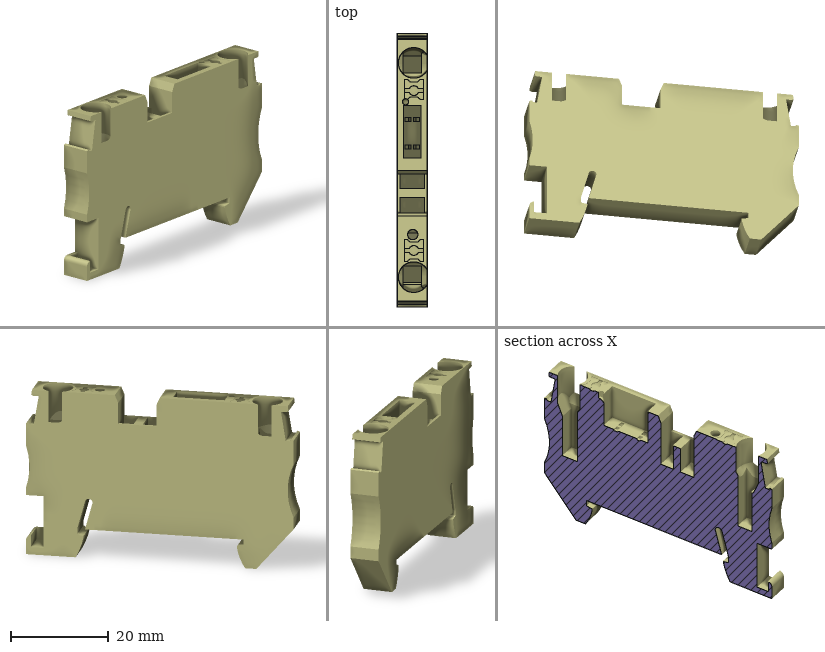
import cadquery as cq

width = 6.15
length = 55.9
height = 35.25

rail_z = 6.1
lip_z = 34.0
shoulder_z = 27.8
bead_z = 28.2
bead_end_z = 28.0

clip_wall_y = 3.6
clip_top_z = 4.05
clip_bead_y = 1.0
clip_rim = 0.8
clip_pocket_depth = 2.5

notch_y0 = 19.25
notch_y1 = 27.2
notch_z = 29.15
notch_bevel_z = 33.65
notch_bevel = 0.7

entry_radius = 3.13
entry_x = 0.3
entry_depth = 6.0
taper_depth = 4.0
taper_end_radius = 1.0
taper_offset = 0.3
clamp_half_width = 1.92
clamp_depth = 14.0
front_entry_y = 6.1
front_clamp_inner = 2.25
front_clamp_outer = 1.07
front_ledge = 0.4
rear_entry_y = length - 6.03
rear_clamp_inner = 2.1
rear_clamp_outer = 1.45
rear_ledge = 0.0

front_mark_y0 = 9.35
front_mark_y1 = 13.75
front_groove_y = 11.55
rear_mark_y0 = 42.4
rear_mark_y1 = 46.5
rear_groove_y = 44.2
mark_x0 = -1.6
mark_x1 = 2.25
mark_recess = 0.1
mark_groove_depth = 0.35
mark_groove_half_width = 0.43
mark_ring_radius = 1.0
mark_notch_depth = 0.5
mark_notch_outer = 1.3
mark_notch_inner = 0.75

slot_half_width = 1.75
slot_y0 = 30.45
slot_y1 = 41.2
slot_depth = 8.0
contact_ys = (32.7, 38.3)
contact_length = 0.85
contact_outer_x = 1.43
contact_bend_x = 0.76
contact_inner_x = 0.25
contact_shelf_depth = 0.3
contact_depth = 1.3

bridge_half_width = 2.47
bridge_front_length = 3.1
bridge_rear_length = 2.95
bridge_depth = 6.0

test_radius = 1.05
test_x = 0.1
test_y = 14.8
test_depth = 5.0
test_flat = 0.3
test_slope_rise = 1.0

pilot_radius = 0.63
pilot_x = -1.36
pilot_y = 41.92
pilot_depth = 3.0
pilot_floor_radius = 1.5


def body():
    """Side outline with its feet, release slit, grips and top lips, extruded across the width."""
    outline = (
        cq.Workplane("YZ")
        .moveTo(0, 0)
        .lineTo(10.35, 0)
        .threePointArc((11.3, 2.0), (12.0, 4.35))
        .lineTo(12.0, 4.65)
        .lineTo(11.0, 4.8)
        .lineTo(10.7, 5.0)
        .lineTo(10.7, rail_z)
        .lineTo(12.3, 12.0)
        .threePointArc((13.1, 12.7), (13.9, 11.9))
        .lineTo(12.3, rail_z)
        .lineTo(45.45, rail_z)
        .lineTo(45.45, 4.85)
        .lineTo(44.05, 4.6)
        .lineTo(44.05, 4.3)
        .threePointArc((44.7, 2.0), (45.75, 0))
        .lineTo(48.1, 0)
        .lineTo(length, 9.0)
        .lineTo(length, 11.5)
        .threePointArc((54.65, 17.2), (length, 22.9))
        .lineTo(length, bead_end_z)
        .lineTo(55.4, bead_z)
        .lineTo(55.1, shoulder_z)
        .lineTo(54.25, shoulder_z)
        .lineTo(53.25, lip_z)
        .lineTo(54.4, lip_z)
        .lineTo(54.82, 34.2)
        .lineTo(54.68, height)
        .lineTo(notch_y1 + notch_bevel, height)
        .lineTo(notch_y1, notch_bevel_z)
        .lineTo(notch_y1, notch_z)
        .lineTo(notch_y0, notch_z)
        .lineTo(notch_y0, notch_bevel_z)
        .lineTo(notch_y0 - notch_bevel, height)
        .lineTo(1.22, height)
        .lineTo(1.08, 34.2)
        .lineTo(1.5, lip_z)
        .lineTo(2.65, lip_z)
        .lineTo(1.6, shoulder_z)
        .lineTo(0.85, shoulder_z)
        .lineTo(0.5, bead_z)
        .lineTo(0, bead_end_z)
        .lineTo(0, 23.2)
        .threePointArc((0.7, 18.8), (0, 14.3))
        .lineTo(0, 12.65)
        .lineTo(clip_wall_y, 12.65)
        .lineTo(clip_wall_y, clip_top_z)
        .lineTo(clip_bead_y, clip_top_z)
        .threePointArc((0.3, 3.75), (0, 3.05))
        .close()
    )
    return outline.extrude(width / 2, both=True)


def box_down(x0, x1, y0, y1, z_top, depth):
    """Box between the given sides, reaching down from z_top."""
    return (
        cq.Workplane("XY", origin=(0, 0, z_top - depth))
        .moveTo((x0 + x1) / 2, (y0 + y1) / 2)
        .rect(x1 - x0, y1 - y0)
        .extrude(depth)
    )


def cylinder_down(x, y, radius, depth):
    """Upright cylinder reaching down from the top face."""
    return cq.Workplane("XY", origin=(x, y, height)).circle(radius).extrude(-depth)


def conductor_entry(y, outward, clamp_inner, clamp_outer, ledge):
    """Round entry tapering to a square clamp hole, half conical and with flat slopes outward.

    outward is -1 or +1 along Y; clamp_inner and clamp_outer are the distances from the entry
    axis to the clamp hole's two ends; ledge is the flat between the ramp and the hole.
    """
    taper_top = height - entry_depth
    taper_bottom = taper_top - taper_depth
    taper_y = y - outward * taper_offset
    bore = cylinder_down(entry_x, y, entry_radius, entry_depth)
    column = cylinder_down(entry_x, y, entry_radius, entry_depth + taper_depth)
    cone = (
        cq.Workplane("XY", origin=(entry_x, taper_y, taper_top))
        .circle(entry_radius)
        .workplane(offset=-taper_depth)
        .circle(taper_end_radius)
        .loft()
    )
    column_ends = (y - entry_radius, y + entry_radius)
    inner_ends = sorted((taper_y, taper_y - outward * entry_radius))
    inner_x0 = entry_x - entry_radius
    inner_x1 = entry_x + entry_radius
    cone_half = cone.intersect(box_down(inner_x0, inner_x1, *inner_ends, taper_top, taper_depth))
    trough = (
        cq.Workplane("XZ", origin=(entry_x, taper_y, 0))
        .moveTo(-entry_radius, taper_top)
        .lineTo(entry_radius, taper_top)
        .lineTo(taper_end_radius, taper_bottom)
        .lineTo(-taper_end_radius, taper_bottom)
        .close()
        .extrude(-outward * (taper_offset + entry_radius))
    )
    y_ends = sorted((y - outward * clamp_inner, y + outward * clamp_outer))
    clamp = box_down(-clamp_half_width, clamp_half_width, *y_ends, taper_top, clamp_depth)
    ramp_profile = (
        cq.Workplane("YZ", origin=(entry_x, 0, 0))
        .moveTo(taper_y, taper_top)
        .lineTo(y + outward * entry_radius, taper_top)
        .lineTo(y + outward * (clamp_outer + ledge), taper_bottom)
        .lineTo(taper_y, taper_bottom)
        .close()
    )
    wedge = ramp_profile.extrude(entry_radius, both=True)
    ramp_strip = box_down(-clamp_half_width, clamp_half_width, *column_ends, taper_top, taper_depth)
    ramp = wedge.intersect(ramp_strip)
    side_slopes = wedge.intersect(trough)
    taper = cone_half.union(side_slopes).union(ramp).intersect(column)
    return bore.union(taper).union(clamp)


def latch_mark(y0, y1, groove_y):
    """Shallow notched rectangle crossed by a deeper groove with a round middle."""
    x = (mark_x0 + mark_x1) / 2
    plate = (
        cq.Workplane("XY", origin=(0, 0, height))
        .moveTo(mark_x0, y0)
        .lineTo(x - mark_notch_outer, y0)
        .lineTo(x - mark_notch_inner, y0 + mark_notch_depth)
        .lineTo(x + mark_notch_inner, y0 + mark_notch_depth)
        .lineTo(x + mark_notch_outer, y0)
        .lineTo(mark_x1, y0)
        .lineTo(mark_x1, y1)
        .lineTo(x + mark_notch_outer, y1)
        .lineTo(x + mark_notch_inner, y1 - mark_notch_depth)
        .lineTo(x - mark_notch_inner, y1 - mark_notch_depth)
        .lineTo(x - mark_notch_outer, y1)
        .lineTo(mark_x0, y1)
        .close()
        .extrude(-mark_recess)
    )
    groove_y0 = groove_y - mark_groove_half_width
    groove_y1 = groove_y + mark_groove_half_width
    groove = box_down(mark_x0, mark_x1, groove_y0, groove_y1, height, mark_groove_depth)
    ring = cylinder_down(x, groove_y, mark_ring_radius, mark_groove_depth)
    return plate.union(groove).union(ring)


def contact_socket(y, side):
    """Small socket in the slot floor: an outer shelf, then a slope diving towards the middle."""
    floor_z = height - slot_depth
    return (
        cq.Workplane("XZ", origin=(0, y + contact_length / 2, 0))
        .moveTo(side * contact_outer_x, floor_z)
        .lineTo(side * contact_outer_x, floor_z - contact_shelf_depth)
        .lineTo(side * contact_bend_x, floor_z - contact_shelf_depth)
        .lineTo(side * contact_inner_x, floor_z - contact_depth)
        .lineTo(side * contact_inner_x, floor_z)
        .close()
        .extrude(contact_length)
    )


def plug_slot():
    """Rectangular slot with two pairs of contact sockets in its floor."""
    slot = box_down(-slot_half_width, slot_half_width, slot_y0, slot_y1, height, slot_depth)
    for y in contact_ys:
        for side in (-1, 1):
            slot = slot.union(contact_socket(y, side))
    return slot


def bridge_pockets():
    """Two rectangular pockets against the end walls of the top recess."""
    front_end = notch_y0 + bridge_front_length
    rear_start = notch_y1 - bridge_rear_length
    front = box_down(-bridge_half_width, bridge_half_width, notch_y0, front_end, notch_z, bridge_depth)
    rear = box_down(-bridge_half_width, bridge_half_width, rear_start, notch_y1, notch_z, bridge_depth)
    return front.union(rear)


def clip_pocket():
    """Pocket in the top of the clip foot, behind its bead and open on the +X side."""
    rim_x = -width / 2 + clip_rim
    return box_down(rim_x, width / 2, clip_bead_y, clip_wall_y, clip_top_z, clip_pocket_depth)


def test_hole():
    """Round hole whose floor slopes up towards the clip end."""
    floor_z = height - test_depth
    slope = (
        cq.Workplane("YZ", origin=(test_x, 0, 0))
        .moveTo(test_y + test_flat, floor_z)
        .lineTo(test_y - test_radius, floor_z)
        .lineTo(test_y - test_radius, floor_z + test_slope_rise)
        .close()
        .extrude(test_radius, both=True)
    )
    return cylinder_down(test_x, test_y, test_radius, test_depth).cut(slope)


def pilot_hole():
    """Small round hole whose floor falls away, rounded about X, towards the clip end."""
    crest = (
        cq.Workplane("YZ", origin=(pilot_x, 0, 0))
        .moveTo(pilot_y + pilot_radius, height - pilot_depth)
        .circle(pilot_floor_radius)
        .extrude(pilot_radius, both=True)
    )
    return cylinder_down(pilot_x, pilot_y, pilot_radius, pilot_depth).cut(crest)


result = body()
result = result.cut(
    conductor_entry(front_entry_y, -1, front_clamp_inner, front_clamp_outer, front_ledge)
)
result = result.cut(
    conductor_entry(rear_entry_y, 1, rear_clamp_inner, rear_clamp_outer, rear_ledge)
)
result = result.cut(latch_mark(front_mark_y0, front_mark_y1, front_groove_y))
result = result.cut(latch_mark(rear_mark_y0, rear_mark_y1, rear_groove_y))
result = result.cut(plug_slot())
result = result.cut(bridge_pockets())
result = result.cut(clip_pocket())
result = result.cut(test_hole())
result = result.cut(pilot_hole())